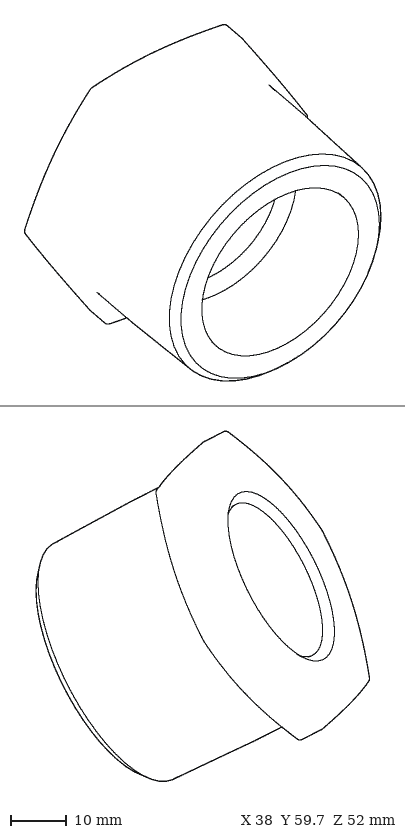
import cadquery as cq
import math

across_flats = 52.0
across_corners = 59.75
flange_thickness = 8.0
face_diameter = 50.9
corner_cone_angle = 18.0
face_rounding = 0.95
edge_rounding = 0.55

total_length = 38.0
neck_diameter = 48.2
neck_end = 19.0
tip_diameter = 47.3
tip_chamfer = 1.5
root_fillet = 0.5

bore_diameter = 30.3
entry_diameter = 33.3
entry_depth = (entry_diameter - bore_diameter) / 2
relief_diameter = 35.0
relief_start = 17.1
relief_cone_length = (relief_diameter - bore_diameter) / 2


def revolve_about_x(half_profile):
    """Solid of revolution about X from a closed outline in the XY plane."""
    return half_profile.close().revolve(360, (0, 0, 0), (1, 0, 0))


def hex_flange():
    """Hexagon with rounded corners, cones turned on both faces and softened edges."""
    corner_ratio = 1 / math.cos(math.radians(30))
    sharp_corners = across_flats * corner_ratio
    corner_rounding = (sharp_corners - across_corners) / 2 / (corner_ratio - 1)
    prism = cq.Workplane("YZ").polygon(6, sharp_corners).extrude(flange_thickness)
    prism = prism.edges("|X").fillet(corner_rounding)

    face_radius = face_diameter / 2
    outer_radius = sharp_corners / 2
    cone_depth = (outer_radius - face_radius) * math.tan(math.radians(corner_cone_angle))
    envelope_profile = cq.Workplane("XY").polyline([
        (0, 0),
        (0, face_radius),
        (cone_depth, outer_radius),
        (flange_thickness - cone_depth, outer_radius),
        (flange_thickness, face_radius),
        (flange_thickness, 0),
    ])
    turned_envelope = revolve_about_x(envelope_profile)
    turned_envelope = turned_envelope.faces("<X or >X").edges().fillet(face_rounding)

    flange = prism.intersect(turned_envelope)
    return flange.edges("%HYPERBOLA").fillet(edge_rounding)


def threaded_body():
    """Straight neck with a root fillet at the flange, tapered section and chamfered tip."""
    neck_radius = neck_diameter / 2
    tip_radius = tip_diameter / 2
    body_profile = (
        cq.Workplane("XY")
        .lineTo(0, neck_radius)
        .lineTo(flange_thickness, neck_radius)
        .lineTo(flange_thickness, neck_radius + root_fillet)
        .radiusArc((flange_thickness + root_fillet, neck_radius), -root_fillet)
        .lineTo(neck_end, neck_radius)
        .lineTo(total_length - tip_chamfer, tip_radius)
        .lineTo(total_length, tip_radius - tip_chamfer)
        .lineTo(total_length, 0)
    )
    return revolve_about_x(body_profile)


def stepped_bore():
    """Material removed from the flange face through to the tip."""
    bore_radius = bore_diameter / 2
    relief_radius = relief_diameter / 2
    bore_profile = cq.Workplane("XY").polyline([
        (0, 0),
        (0, entry_diameter / 2),
        (entry_depth, bore_radius),
        (relief_start, bore_radius),
        (relief_start + relief_cone_length, relief_radius),
        (total_length, relief_radius),
        (total_length, 0),
    ])
    return revolve_about_x(bore_profile)


result = hex_flange().union(threaded_body()).cut(stepped_bore())